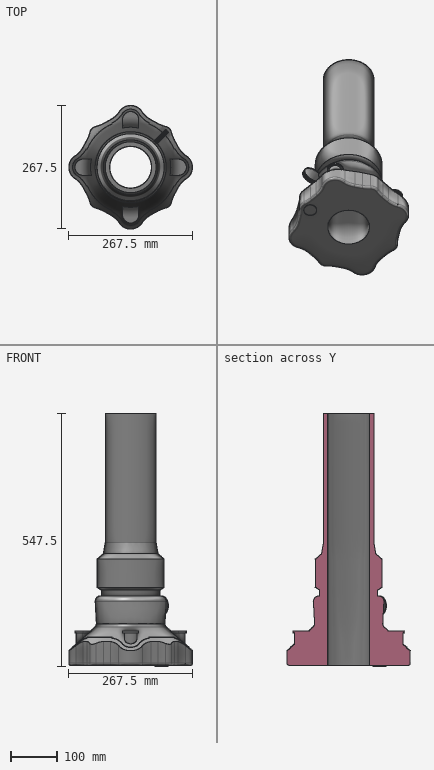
import math

import cadquery as cq

BORE_RADIUS = 90 / 2
TUBE_RADIUS = 110 / 2
TUBE_TOP = 546.0
TAPER_TOP = 266.5
TAPER_FOOT_RADIUS = 59.3
COLLAR_RADIUS = 145 / 2
COLLAR_SHOULDER = 242.0
COLLAR_TOP_EDGE = 230.5
COLLAR_BOTTOM_EDGE = 169.0
COLLAR_BOTTOM = 163.0
GROOVE_RADIUS = 126.96 / 2

NECK_TOP = 151.0
NECK_TOP_RADIUS = 77.5
NECK_LIP_ROUND = 12.0
NECK_FOOT_RADIUS = 74.0
NECK_FOOT_FILLET = 10.0

KNOB_SPAN = 267.53
NECK_FOOT = 86.5
CONE_SLOPE = 0.9
LOBE_HALF_WIDTH = 26.0
LOBE_FLANK = 118.2
FACET_START = (43.7, 103.0)
FACET_END = (58.8, 94.8)
CORNER_START = (75.4, 88.4)
CORNER_RADIUS = 118.4
KNOB_FOOT_ROUND = 5.0
RIM_WIDTH = 8.0
RIM_STEP = 0.6
RAISED_LAND_RADIUS = 102.0
LAND_BAR_HALF_WIDTH = 40.0

CLIP_TOP = 75.0
CLIP_CAP_THICKNESS = 4.5
CLIP_CAP_WIDTH = 35.0
CLIP_CAP_REACH = 120.6
CLIP_STEM_WIDTH = 27.0
CLIP_STEM_REACH = 117.8
CLIP_BACK_RADIUS = 80.0
CLIP_STEM_FOOT = 35.0

WHEEL_ANGLE = 45.0
WHEEL_RADIUS = 21.5
WHEEL_THICKNESS = 9.0
WHEEL_AXIS_RADIUS = 90.0
WHEEL_HEIGHT = 129.5
WHEEL_TEETH = 36
WHEEL_TOOTH_DEPTH = 1.0

PAD_RADIUS = 14.0
PAD_AXIS_RADIUS = 95.0
PAD_THICKNESS = 1.51

KNOB_RADIUS = KNOB_SPAN / 2
CONE_APEX = NECK_FOOT + CONE_SLOPE * NECK_FOOT_RADIUS
QUARTER_TURNS = (0, 90, 180, 270)


def turned(profile):
    """Revolve a (radius, height) profile about the Z axis."""
    return profile.close().revolve(360, (0, 0, 0), (0, 1, 0))


def make_tube():
    """Tube, taper, collar and groove, down to the knob underside."""
    return turned(
        cq.Workplane("XZ")
        .moveTo(0, 0)
        .lineTo(GROOVE_RADIUS, 0)
        .lineTo(GROOVE_RADIUS, COLLAR_BOTTOM)
        .lineTo(COLLAR_RADIUS, COLLAR_BOTTOM_EDGE)
        .lineTo(COLLAR_RADIUS, COLLAR_TOP_EDGE)
        .lineTo(TAPER_FOOT_RADIUS, COLLAR_SHOULDER)
        .lineTo(TUBE_RADIUS, TAPER_TOP)
        .lineTo(TUBE_RADIUS, TUBE_TOP)
        .lineTo(0, TUBE_TOP)
    )


def make_cap(cone_drop):
    """Neck and cone as one turned solid, with the cone lowered by cone_drop."""
    cone_foot_radius = (CONE_APEX - cone_drop) / CONE_SLOPE
    cap = turned(
        cq.Workplane("XZ")
        .moveTo(0, 0)
        .lineTo(cone_foot_radius, 0)
        .lineTo(NECK_FOOT_RADIUS, NECK_FOOT - cone_drop)
        .lineTo(NECK_TOP_RADIUS, NECK_TOP)
        .lineTo(0, NECK_TOP)
    )
    cap = cap.faces(">Z").edges().fillet(NECK_LIP_ROUND)
    foot_center = (0, 0, NECK_FOOT - cone_drop)
    foot_edge = cq.selectors.NearestToPointSelector(foot_center)
    return cap.edges("%CIRCLE").edges(foot_edge).fillet(NECK_FOOT_FILLET)


def rotated(point, angle):
    """Turn a plan point about the axis by an angle in degrees."""
    turn = math.radians(angle)
    x, y = point
    return (
        x * math.cos(turn) - y * math.sin(turn),
        x * math.sin(turn) + y * math.cos(turn),
    )


def mirrored(point):
    """Reflect a plan point in the diagonal X = Y."""
    return (point[1], point[0])


def arc_middle(start, end, direction):
    """Middle of the arc that leaves start along direction and reaches end."""
    chord = (end[0] - start[0], end[1] - start[1])
    swing = math.atan2(chord[1], chord[0]) - math.atan2(direction[1], direction[0])
    swing = math.remainder(swing, math.tau)
    bulge = math.tan(swing / 2) / 2
    return (
        (start[0] + end[0]) / 2 + bulge * chord[1],
        (start[1] + end[1]) / 2 - bulge * chord[0],
    )


def make_outline():
    """Star outline: four wide lobes on the axes and four small corners between.

    Each quarter runs from the +Y lobe to the +X lobe and mirrors itself in the diagonal.
    """
    flank = (LOBE_HALF_WIDTH, LOBE_FLANK)
    lobe_tip = (KNOB_RADIUS, 0)
    corner_tip = rotated((CORNER_RADIUS, 0), 45)
    facet = (FACET_END[0] - FACET_START[0], FACET_END[1] - FACET_START[1])
    facet_back = (FACET_START[0] - FACET_END[0], FACET_START[1] - FACET_END[1])
    lobe_hollow = arc_middle(FACET_START, flank, facet_back)
    corner_hollow = arc_middle(FACET_END, CORNER_START, facet)

    outline = cq.Workplane("XY").moveTo(*flank)
    for quarter in QUARTER_TURNS:
        turn = -quarter
        outline = (
            outline
            .threePointArc(rotated(lobe_hollow, turn), rotated(FACET_START, turn))
            .lineTo(*rotated(FACET_END, turn))
            .threePointArc(rotated(corner_hollow, turn), rotated(CORNER_START, turn))
            .threePointArc(rotated(corner_tip, turn), rotated(mirrored(CORNER_START), turn))
            .threePointArc(rotated(mirrored(corner_hollow), turn), rotated(mirrored(FACET_END), turn))
            .lineTo(*rotated(mirrored(FACET_START), turn))
            .threePointArc(rotated(mirrored(lobe_hollow), turn), rotated(mirrored(flank), turn))
            .threePointArc(rotated(lobe_tip, turn), rotated(flank, turn - 90))
        )
    return outline.close()


def make_land_limit():
    """Round disc with two bars along X and Y that let the land reach into the lobes."""
    limit = cq.Workplane("XY").circle(RAISED_LAND_RADIUS).extrude(NECK_TOP)
    bar = cq.Workplane("XY").rect(KNOB_SPAN, 2 * LAND_BAR_HALF_WIDTH).extrude(NECK_TOP)
    return limit.union(bar).union(bar.rotate((0, 0, 0), (0, 0, 1), 90))


def make_knob():
    """Star-shaped knob under the cone, with a slightly raised land inside its rim."""
    star = make_outline().extrude(NECK_TOP)
    star = star.faces("<Z").edges().fillet(KNOB_FOOT_ROUND)
    land = make_outline().offset2D(-RIM_WIDTH).extrude(NECK_TOP)
    land = land.intersect(make_land_limit())
    rim = star.intersect(make_cap(RIM_STEP))
    return rim.union(land.intersect(make_cap(0)))


def make_clip_block(width, reach, bottom, top):
    """Radial block on +X with a round outer end."""
    half_width = width / 2
    return (
        cq.Workplane("XY", origin=(0, 0, bottom))
        .moveTo(CLIP_BACK_RADIUS, -half_width)
        .lineTo(reach - half_width, -half_width)
        .threePointArc((reach, 0), (reach - half_width, half_width))
        .lineTo(CLIP_BACK_RADIUS, half_width)
        .close()
        .extrude(top - bottom)
    )


def make_clip():
    """Stem standing on the cone, with a wider cap."""
    cap_bottom = CLIP_TOP - CLIP_CAP_THICKNESS
    cap = make_clip_block(CLIP_CAP_WIDTH, CLIP_CAP_REACH, cap_bottom, CLIP_TOP)
    stem = make_clip_block(CLIP_STEM_WIDTH, CLIP_STEM_REACH, CLIP_STEM_FOOT, cap_bottom)
    return cap.union(stem)


def make_wheel():
    """Serrated wheel standing upright, its flat sides facing along the rim."""
    tooth_pitch = 360 / WHEEL_TEETH
    points = []
    for tooth in range(WHEEL_TEETH):
        angle = tooth * tooth_pitch
        points.append(rotated((WHEEL_RADIUS, 0), angle))
        points.append(rotated((WHEEL_RADIUS - WHEEL_TOOTH_DEPTH, 0), angle + tooth_pitch / 2))
    return (
        cq.Workplane("XZ")
        .polyline(points)
        .close()
        .extrude(WHEEL_THICKNESS / 2, both=True)
        .translate((WHEEL_AXIS_RADIUS, 0, WHEEL_HEIGHT))
        .rotate((0, 0, 0), (0, 0, 1), WHEEL_ANGLE)
    )


def make_pad():
    """Thin round pad under the knob, in line with the wheel."""
    center = rotated((PAD_AXIS_RADIUS, 0), WHEEL_ANGLE)
    return cq.Workplane("XY").center(*center).circle(PAD_RADIUS).extrude(-PAD_THICKNESS)


def make_bore():
    """Bore through the whole height."""
    return cq.Workplane("XY").circle(BORE_RADIUS).extrude(TUBE_TOP)


result = make_knob().union(make_tube())
for turn in QUARTER_TURNS:
    result = result.union(make_clip().rotate((0, 0, 0), (0, 0, 1), turn))
result = result.union(make_wheel()).union(make_pad()).cut(make_bore())